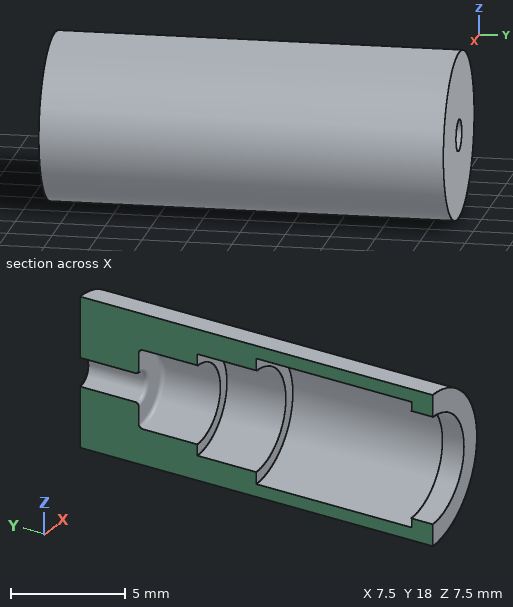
import cadquery as cq

length = 18.0
outer_diameter = 7.5
mouth_diameter = 5.3
relief_diameter = 6.2
seat_diameter = 5.0
bore_diameter = 3.89
exit_diameter = 1.4
corner_radius = 0.2

mouth_depth = 1.1
relief_depth = 9.0
seat_depth = 12.0
bore_depth = 15.0

front_y = -length / 2


def cylinder(diameter, start_depth, end_depth):
    """Solid cylinder on the Y axis between two depths from the open end."""
    return (
        cq.Workplane("XZ", origin=(0, front_y + start_depth, 0))
        .circle(diameter / 2)
        .extrude(start_depth - end_depth)
    )


bore = cylinder(bore_diameter, seat_depth, bore_depth).faces(">Y").edges().fillet(corner_radius)

result = (
    cylinder(outer_diameter, 0, length)
    .cut(cylinder(mouth_diameter, 0, mouth_depth))
    .cut(cylinder(relief_diameter, mouth_depth, relief_depth))
    .cut(cylinder(seat_diameter, relief_depth, seat_depth))
    .cut(bore)
    .cut(cylinder(exit_diameter, bore_depth, length))
)

exit_entry = cq.selectors.BoxSelector(
    (-exit_diameter, front_y + bore_depth - corner_radius / 2, -exit_diameter),
    (exit_diameter, front_y + bore_depth + corner_radius / 2, exit_diameter),
    boundingbox=True,
)
result = result.edges(exit_entry).fillet(corner_radius)